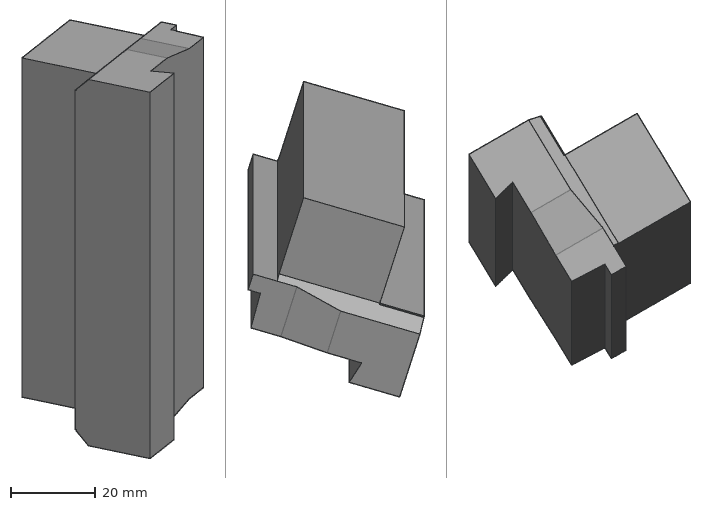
import cadquery as cq

length = 95.0
width = 39.8
depth = 42.0

block_width = 19.9
block_front = 11.0
block_back = 36.0

lip_left = 21.3
lip_right = 25.4
lip_shoulder_left = 38.95
lip_shoulder_right = 38.6
web_right = 34.3
hook_root = 11.1
hook_tip = 12.5

end_chamfer = 3.5
end_drop = 2.1
ledge = 0.3
slope_start = 19.7
slope_end = 31.2

block_length = length - 2 * end_chamfer


def make_rail():
    """Full-length rail with a thin lip at the back and an undercut hook at the front."""
    outline = [
        (block_width, 0),
        (width, 0),
        (width, hook_tip),
        (web_right, hook_root),
        (web_right, lip_shoulder_right),
        (lip_right, lip_shoulder_left),
        (lip_right, depth),
        (lip_left, depth),
        (lip_left, block_back),
        (block_width, block_back),
    ]
    return cq.Workplane("XY").polyline(outline).close().extrude(length)


def make_sloped_envelope():
    """Side outline that lowers both ends of the rail towards the lip."""
    outline = [
        (0, 0),
        (slope_start, 0),
        (slope_end, end_drop),
        (depth, end_drop),
        (depth, length - end_drop),
        (slope_end, length - end_drop),
        (slope_start, length),
        (0, length),
    ]
    return cq.Workplane("YZ").polyline(outline).close().extrude(width)


def make_chamfered_envelope():
    """Front outline with 45 degree chamfers on the block side of both ends."""
    outline = [
        (block_width, end_chamfer),
        (block_width + end_chamfer, 0),
        (width, 0),
        (width, length),
        (block_width + end_chamfer, length),
        (block_width, length - end_chamfer),
    ]
    return cq.Workplane("XZ").polyline(outline).close().extrude(-depth)


def make_block():
    """Plain block whose ends meet the foot of the rail chamfers."""
    return (
        cq.Workplane("XY")
        .box(block_width, block_back - block_front, block_length, centered=False)
        .translate((0, block_front, end_chamfer))
    )


def make_ledge_cutter(bottom):
    """Strip that leaves a small square ledge at the foot of a chamfer, in front of the block."""
    return (
        cq.Workplane("XY")
        .box(ledge, block_front, end_chamfer, centered=False)
        .translate((block_width, 0, bottom))
    )


rail = make_rail().intersect(make_sloped_envelope()).intersect(make_chamfered_envelope())
for cutter_bottom in (0, length - end_chamfer):
    rail = rail.cut(make_ledge_cutter(cutter_bottom))

result = rail.union(make_block())